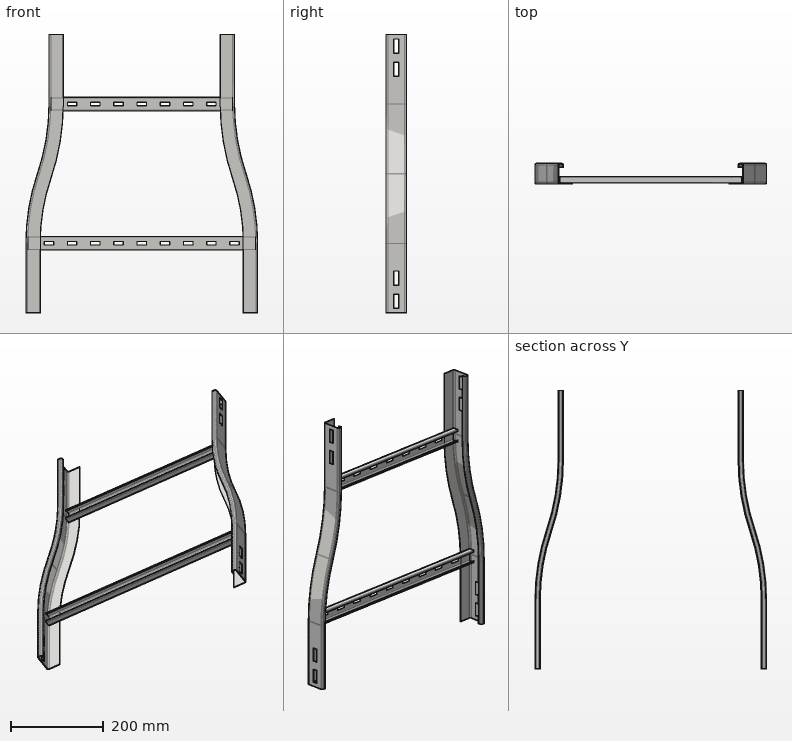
import cadquery as cq
import math


LENGTH = 600.0
WIDE_END_WIDTH = 500.0
RAIL_DEPTH = 45.0

SEGMENT_LENGTH = LENGTH / 4
RAIL_OFFSET = 50.0

RAIL_SHEET = 2.05
RAIL_BEND = 4.0
FRONT_FLANGE = 31.0
BACK_FLANGE = 12.0
BACK_LIP = 9.0

SLOT_PITCH = LENGTH / 12
RAIL_SLOT_LENGTH = 30.0
RAIL_SLOT_WIDTH = 10.0
RAIL_SLOT_INSET = SLOT_PITCH / 2
RAIL_SLOTS_PER_END = 2

RUNG_SHEET = 1.5
RUNG_BEND = 2.0
RUNG_HEIGHT = 30.0
RUNG_DEPTH = 14.5
RUNG_LIP = 5.0
RUNG_INSET = 5.0
RUNG_SLOT_LENGTH = 20.0
RUNG_SLOT_HEIGHT = 7.0
WIDE_RUNG_SLOTS = 9
NARROW_RUNG_SLOTS = 7

WIDE_HALF = WIDE_END_WIDTH / 2
NARROW_HALF = WIDE_HALF - RAIL_OFFSET
BOTTOM = -LENGTH / 2
TOP = LENGTH / 2
FRONT = -RAIL_DEPTH / 2
BACK = RAIL_DEPTH / 2
RUNG_FRONT = FRONT + RAIL_SHEET
RUNG_BACK = RUNG_FRONT + RUNG_DEPTH


def inner_corners(outer_points, sheet):
    """Corners of the inner side of a sheet whose outer side turns left at right angles."""
    normals = []
    for (x0, y0), (x1, y1) in zip(outer_points, outer_points[1:]):
        run = math.hypot(x1 - x0, y1 - y0)
        normals.append((-(y1 - y0) / run, (x1 - x0) / run))

    corners = []
    for i, (x, y) in enumerate(outer_points):
        legs = normals[max(i - 1, 0):i + 1]
        corner_x = x + sheet * sum(normal[0] for normal in legs)
        corner_y = y + sheet * sum(normal[1] for normal in legs)
        corners.append((corner_x, corner_y))
    return corners


def bent_sheet(outer_points, sheet, bend_radius, to_world):
    """Section face of a bent sheet; to_world turns section points into vectors."""
    inner_points = inner_corners(outer_points, sheet)
    outline = [to_world(*point) for point in outer_points + inner_points[::-1]]
    face = cq.Face.makeFromWires(cq.Wire.makePolygon(outline, close=True))

    same_place = sheet / 100
    for points, radius in ((outer_points, bend_radius), (inner_points, bend_radius - sheet)):
        bends = [to_world(*point) for point in points[1:-1]]
        vertices = [
            vertex for vertex in face.Vertices()
            if any((vertex.Center() - bend).Length < same_place for bend in bends)
        ]
        face = face.fillet2D(radius, vertices)
    return face


def rail_path():
    """S-curve followed by the outer face of the left rail's web."""
    half_offset = RAIL_OFFSET / 2
    radius = (SEGMENT_LENGTH**2 + half_offset**2) / RAIL_OFFSET
    half_angle = math.asin(SEGMENT_LENGTH / radius) / 2
    arc_mid_x = radius * (1 - math.cos(half_angle))
    arc_mid_z = radius * math.sin(half_angle)
    return (
        cq.Workplane("XZ")
        .moveTo(-WIDE_HALF, BOTTOM)
        .lineTo(-WIDE_HALF, -SEGMENT_LENGTH)
        .threePointArc(
            (-WIDE_HALF + arc_mid_x, -SEGMENT_LENGTH + arc_mid_z),
            (-WIDE_HALF + half_offset, 0),
        )
        .threePointArc(
            (-NARROW_HALF - arc_mid_x, SEGMENT_LENGTH - arc_mid_z),
            (-NARROW_HALF, SEGMENT_LENGTH),
        )
        .lineTo(-NARROW_HALF, TOP)
        .wire()
        .val()
    )


def rail_slots():
    """Cutters for the lengthwise slots near both ends of the left rail's web."""
    places = []
    for i in range(RAIL_SLOTS_PER_END):
        inset = RAIL_SLOT_INSET + i * SLOT_PITCH
        places.append((-WIDE_HALF, 0, BOTTOM + inset))
        places.append((-NARROW_HALF, 0, TOP - inset))
    cutter_depth = 4 * RAIL_SHEET
    return cq.Workplane().pushPoints(places).box(cutter_depth, RAIL_SLOT_WIDTH, RAIL_SLOT_LENGTH)


def left_rail():
    """C-shaped rail with a lip on its short back flange, swept along the S-curve."""
    web = -WIDE_HALF
    section = bent_sheet(
        [
            (web + BACK_FLANGE, BACK - BACK_LIP),
            (web + BACK_FLANGE, BACK),
            (web, BACK),
            (web, FRONT),
            (web + FRONT_FLANGE, FRONT),
        ],
        RAIL_SHEET,
        RAIL_BEND,
        lambda x, y: cq.Vector(x, y, BOTTOM),
    )
    channel = cq.Solid.sweep(section.outerWire(), [], rail_path())
    return cq.Workplane(channel).cut(rail_slots()).solids()


def rung_slots(center_z, count):
    """Cutters for the centred row of slots through a rung's front wall."""
    first_x = -(count - 1) * SLOT_PITCH / 2
    places = [(first_x + i * SLOT_PITCH, RUNG_FRONT, center_z) for i in range(count)]
    cutter_depth = 4 * RUNG_SHEET
    return cq.Workplane().pushPoints(places).box(RUNG_SLOT_LENGTH, cutter_depth, RUNG_SLOT_HEIGHT)


def rung(center_z, rail_half_width, slot_count):
    """Lipped channel open to the back, with slots through its front wall."""
    half_length = rail_half_width - RUNG_INSET
    top = center_z + RUNG_HEIGHT / 2
    bottom = center_z - RUNG_HEIGHT / 2
    section = bent_sheet(
        [
            (RUNG_BACK, top - RUNG_LIP),
            (RUNG_BACK, top),
            (RUNG_FRONT, top),
            (RUNG_FRONT, bottom),
            (RUNG_BACK, bottom),
            (RUNG_BACK, bottom + RUNG_LIP),
        ],
        RUNG_SHEET,
        RUNG_BEND,
        lambda y, z: cq.Vector(-half_length, y, z),
    )
    channel = cq.Solid.extrudeLinear(section, cq.Vector(2 * half_length, 0, 0))
    return cq.Workplane(channel).cut(rung_slots(center_z, slot_count)).solids()


rail_left = left_rail()
rail_right = rail_left.mirror("YZ")

rungs = []
for rung_z, half_width, slot_count in (
    (-SEGMENT_LENGTH, WIDE_HALF, WIDE_RUNG_SLOTS),
    (SEGMENT_LENGTH, NARROW_HALF, NARROW_RUNG_SLOTS),
):
    rungs.append(rung(rung_z, half_width, slot_count).val())

result = cq.Compound.makeCompound([rail_left.val(), rail_right.val(), *rungs])